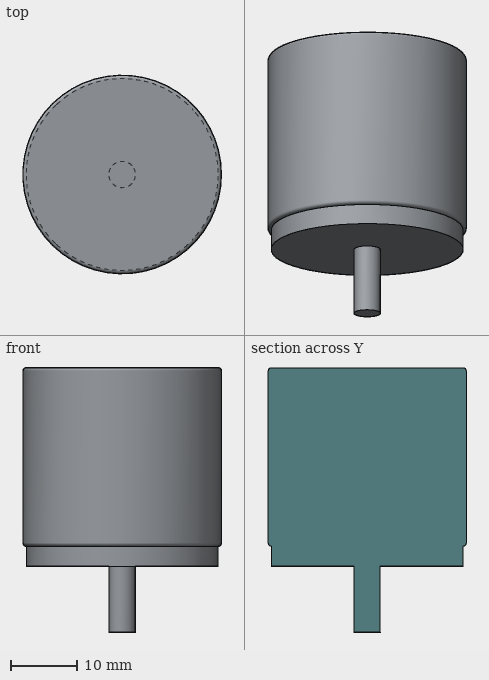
import cadquery as cq

total_height = 40.0
shaft_diameter = 4.0
shaft_length = 10.0
collar_height = 3.0
body_diameter = 30.0
collar_diameter = 29.0

edge_radius = (body_diameter - collar_diameter) / 2
body_bottom = shaft_length + collar_height
body_height = total_height - body_bottom


def cylinder(diameter, height, bottom):
    """Upright cylinder on the Z axis, starting at the given height."""
    return cq.Workplane("XY").workplane(offset=bottom).circle(diameter / 2).extrude(height)


body = cylinder(body_diameter, body_height, body_bottom).edges("%CIRCLE").fillet(edge_radius)

collar = cylinder(collar_diameter, collar_height, shaft_length)
shaft = cylinder(shaft_diameter, shaft_length, 0)

result = body.union(collar).union(shaft)